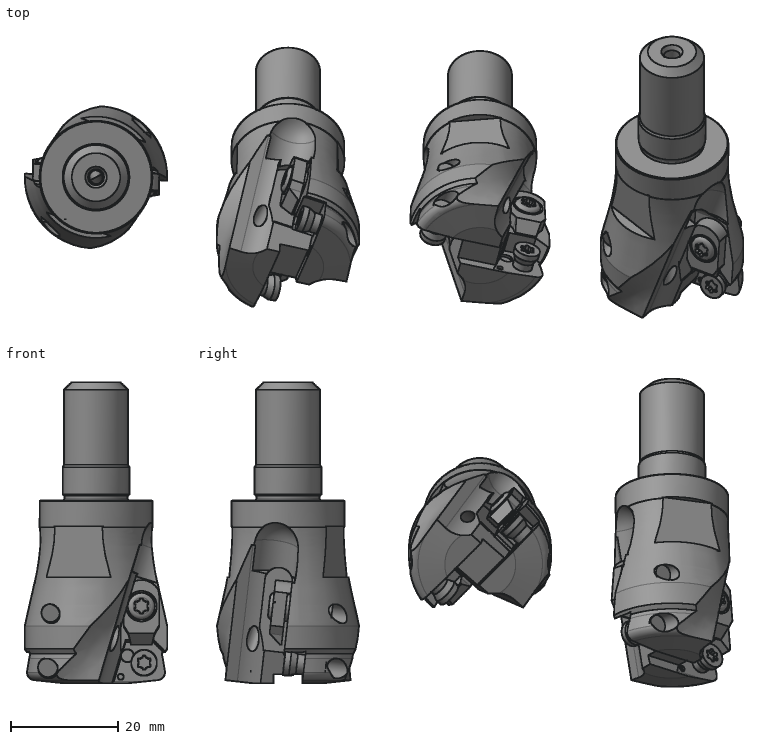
import cadquery as cq
import math

TOTAL_HEIGHT = 56.1
SHOULDER_Z = 34.1
BODY_RADIUS = 13.285
COLLAR_RADIUS = 10.53
COLLAR_BOTTOM_Z = 29.1
COLLAR_CHAMFER = 0.2
FLARE_TOP_RADIUS = 10.45
FLARE_MID = (11.3, 19.8)
FLARE_TANGENTS = [(-0.22, 1), (0, 1)]
FLARE_BOTTOM_Z = 10.7
BODY_BOTTOM_Z = 6.4
GROOVE_RADIUS = 12.7
GROOVE_TOP_Z = 5.5
GROOVE_BOTTOM_Z = 4.7
SKIRT_TOP_RADIUS = 12.85
SKIRT_RADIUS = 13.2
SKIRT_BOTTOM_Z = 2.1
BOTTOM_CORNER = (12.85, 1.15)
BOTTOM_CORNER_END = (11.6, 0.55)
BOTTOM_FACE_RADIUS = 6.6

SHANK_RADIUS = 6.0
SHANK_CHAMFER = 1.4
SHANK_TIP_RADIUS = 4.5
PILOT_RADIUS = 6.25
PILOT_TOP_Z = 40.2
PILOT_BOTTOM_Z = 35.2
NECK_RADIUS = 5.9
NECK_TOP_Z = 34.9
NECK_BOTTOM_Z = 34.5
EDGE_STEP = 0.5

FLAT_DISTANCE = 9.33
FLAT_ANGLE = 20.3
FLAT_BOTTOM_Z = 19.8
FLAT_TOP_Z = 29.3

BORE_RADIUS = 1.5
BORE_BOTTOM_Z = 27.0
BORE_MOUTH_RADIUS = 2.0
BORE_MOUTH_DEPTH = 0.9
COOLANT_RADIUS = 1.2
COOLANT_EXIT = (3.6, -6.8, 7.4)

BOTTOM_SLOT_HALF_WIDTH = 2.7
BOTTOM_SLOT_HEIGHT = 1.65

SEAT_TILT = math.radians(6.5)
SEAT_OFFSET_Y = -1.37
SIDE_ANGLES = (0, 180)
BEYOND = 20.0

FLUTE_LEAN = 16.5
FLUTE_FOOT_U = 0.7
FLUTE_ARC_RADIUS = 5.3
FLUTE_WALL_W = 8.1
FLUTE_BALL_RADIUS = 4.85
FLUTE_BALL_CENTRE = (11.8, 25.0, 4.25)
FLUTE_BALL_RUN = 6.0

RELIEF_EDGE_W = 10.3
RELIEF_FOOT_ANGLE = -11.0
RELIEF_TWIST = 3.9
RELIEF_BOTTOM_Z = -1.0
RELIEF_TOP_Z = 19.0
RELIEF_STEPS = 4

CLAMP_POCKET_LEFT_U = 4.6
CLAMP_POCKET_TOP_V = 21.4
CLAMP_POCKET_HEIGHT = 5.1
CLAMP_POCKET_END_RISE = 2.1

INSERT_FLOOR_W = -4.0
INSERT_POCKET_TOP_W = 4.6
INSERT_POCKET_TOP_V = 8.2
INSERT_POCKET_TOP_U = 10.65
INSERT_POCKET_LIP_V = 5.75
INSERT_POCKET_FOOT_U = 3.1
RELIEF_HOLES = ((5.86, 5.65, 1.2), (4.6, 1.7, 0.55))
RELIEF_HOLE_DEPTH = 0.5

CLAMP_U = 8.46
CLAMP_V = 14.1
CLAMP_HALF_WIDTH = 3.3
CLAMP_FRONT_W = 3.1
CLAMP_GAP = 0.65
CLAMP_TOP_V = 19.0
CLAMP_TOP_RADIUS = 3.6
CLAMP_TAPER_V = 10.5
NOSE_TOP_V = 9.0
NOSE_TOP_HALF_WIDTH = 2.4
NOSE_TIP_V = 7.15
NOSE_TIP_HALF_WIDTH = 1.95
NOSE_TIP_W = 0.95

SCREW_TIP_W = -8.0
CLAMP_SCREW_RADIUS = 1.7
CLAMP_HEAD_RADIUS = 2.53
CLAMP_HEAD_SEAT_W = 1.6
CLAMP_HEAD_FLAT_RADIUS = 1.55
CLAMP_HEAD_DOME = (2.2, 3.6)
CLAMP_HEAD_TOP_W = 3.8
CLAMP_SINK = 0.35
RING_RADIUS = 2.5
RING_BOTTOM_W = -0.5

INSERT_SCREW_U = 8.96
INSERT_SCREW_V = 3.93
INSERT_SCREW_RADIUS = 1.85
INSERT_HEAD_RADIUS = 2.4
INSERT_HEAD_TOP_W = -0.2
INSERT_HEAD_EDGE_W = -1.35
INSERT_HEAD_BOTTOM_W = -2.6

DRIVE_DEPTH = 1.0
DRIVE_LOBES = 6
CLAMP_DRIVE_RADIUS = 1.45
INSERT_DRIVE_RADIUS = 1.35
DRIVE_LOBE_RATIO = 0.22

SEAT_NORMAL = (0, -math.cos(SEAT_TILT), math.sin(SEAT_TILT))
SEAT = cq.Plane(origin=(0, SEAT_OFFSET_Y, 0), xDir=(1, 0, 0), normal=SEAT_NORMAL)


def seat_plane(u=0.0, v=0.0, w=0.0):
    """Plane parallel to the seat, with its origin at the seat point u, v, w."""
    return cq.Plane(origin=SEAT.toWorldCoords((u, v, w)).toTuple(), xDir=(1, 0, 0), normal=SEAT_NORMAL)


def seat_side_plane(u):
    """Plane seen along +X at u, with local axes w (out of the seat) and v (up the seat)."""
    return cq.Plane(origin=SEAT.toWorldCoords((u, 0, 0)).toTuple(), xDir=SEAT_NORMAL, normal=(-1, 0, 0))


def seat_cylinder(u, v, radius, w_low, w_high):
    return cq.Workplane(seat_plane(u, v, w_low)).circle(radius).extrude(w_high - w_low)


def screw_section_plane(u, v):
    """Plane through the seat normal at u, v, with local axes radius and w."""
    origin = SEAT.toWorldCoords((u, v, 0)).toTuple()
    return cq.Plane(origin=origin, xDir=(1, 0, 0), normal=(SEAT.yDir * -1).toTuple())


def turned_about_seat_normal(profile, u, v):
    """Revolve (radius, w) points about the seat normal through u, v."""
    return cq.Workplane(screw_section_plane(u, v)).polyline(profile).close().revolve(360, (0, 0), (0, 1))


def both_sides(shape):
    """The shape and its copy half a turn round Z, as two separate workplanes."""
    return [shape.rotate((0, 0, 0), (0, 0, 1), angle) for angle in SIDE_ANGLES]


def turned_housing():
    flare_top = (FLARE_TOP_RADIUS, COLLAR_BOTTOM_Z)
    profile = (
        cq.Workplane("XZ")
        .moveTo(0, 0)
        .lineTo(BOTTOM_FACE_RADIUS, 0)
        .lineTo(*BOTTOM_CORNER_END)
        .threePointArc(BOTTOM_CORNER, (SKIRT_RADIUS, SKIRT_BOTTOM_Z))
        .lineTo(SKIRT_TOP_RADIUS, GROOVE_BOTTOM_Z)
        .lineTo(GROOVE_RADIUS, GROOVE_TOP_Z)
        .lineTo(BODY_RADIUS, BODY_BOTTOM_Z)
        .lineTo(BODY_RADIUS, FLARE_BOTTOM_Z)
        .spline([FLARE_MID, flare_top], tangents=FLARE_TANGENTS, includeCurrent=True)
        .lineTo(COLLAR_RADIUS, COLLAR_BOTTOM_Z)
        .lineTo(COLLAR_RADIUS, SHOULDER_Z - COLLAR_CHAMFER)
        .lineTo(COLLAR_RADIUS - COLLAR_CHAMFER, SHOULDER_Z)
        .lineTo(SHANK_RADIUS, SHOULDER_Z)
        .lineTo(NECK_RADIUS, NECK_BOTTOM_Z)
        .lineTo(NECK_RADIUS, NECK_TOP_Z)
        .lineTo(PILOT_RADIUS, PILOT_BOTTOM_Z)
        .lineTo(PILOT_RADIUS, PILOT_TOP_Z)
        .lineTo(SHANK_RADIUS, PILOT_TOP_Z + EDGE_STEP)
        .lineTo(SHANK_RADIUS, TOTAL_HEIGHT - SHANK_CHAMFER)
        .lineTo(SHANK_TIP_RADIUS, TOTAL_HEIGHT)
        .lineTo(0, TOTAL_HEIGHT)
        .close()
    )
    return profile.revolve(360, (0, 0), (0, 1))


def wrench_flat():
    """Block beyond the flat on the -Y side."""
    height = FLAT_TOP_Z - FLAT_BOTTOM_Z
    block = cq.Workplane("XY").box(2 * BEYOND, BEYOND, height, centered=(True, True, False))
    block = block.translate((0, -FLAT_DISTANCE - BEYOND / 2, FLAT_BOTTOM_Z))
    return block.rotate((0, 0, 0), (0, 0, 1), -FLAT_ANGLE)


def flute():
    """Leaning channel with an arc floor on the seat side and a ball-shaped upper end."""
    lean = math.radians(FLUTE_LEAN)
    along = SEAT.xDir * math.sin(lean) + SEAT.yDir * math.cos(lean)
    across = SEAT.xDir * math.cos(lean) - SEAT.yDir * math.sin(lean)
    foot = SEAT.toWorldCoords((FLUTE_FOOT_U, 0, 0))
    section = cq.Plane(origin=(foot - along * BEYOND / 2).toTuple(), xDir=across.toTuple(),
                       normal=along.toTuple())
    radius = FLUTE_ARC_RADIUS
    arc_mid = (radius * (1 - math.sqrt(0.5)), radius * math.sqrt(0.5) - FLUTE_WALL_W)
    arc_end = (radius, radius - FLUTE_WALL_W)
    channel = (
        cq.Workplane(section)
        .moveTo(0, -BEYOND)
        .lineTo(0, -FLUTE_WALL_W)
        .threePointArc(arc_mid, arc_end)
        .lineTo(BEYOND, radius - FLUTE_WALL_W)
        .lineTo(BEYOND, -BEYOND)
        .close()
        .extrude(BEYOND * 3)
    )
    ball_centre = SEAT.toWorldCoords(FLUTE_BALL_CENTRE)
    below_ball = cq.Workplane(seat_side_plane(BEYOND)).rect(4 * BEYOND, 2 * FLUTE_BALL_CENTRE[1])
    channel = channel.intersect(below_ball.extrude(2 * BEYOND))
    ball = cq.Workplane("XY", origin=ball_centre.toTuple()).sphere(FLUTE_BALL_RADIUS)
    run = cq.Solid.makeCylinder(FLUTE_BALL_RADIUS, FLUTE_BALL_RUN, ball_centre, along * -1)
    return channel.union(ball).union(cq.Workplane(run))


def relief():
    """Twisted face that opens the flute towards the front of the housing."""
    wires = []
    for step in range(RELIEF_STEPS + 1):
        z = RELIEF_BOTTOM_Z + (RELIEF_TOP_Z - RELIEF_BOTTOM_Z) * step / RELIEF_STEPS
        slope = math.radians(RELIEF_FOOT_ANGLE + RELIEF_TWIST * z)
        v = (z - RELIEF_EDGE_W * math.sin(SEAT_TILT)) / math.cos(SEAT_TILT)
        u = FLUTE_FOOT_U + v * math.tan(math.radians(FLUTE_LEAN))
        edge = SEAT.toWorldCoords((u, v, RELIEF_EDGE_W))
        inward = cq.Vector(-math.cos(slope), -math.sin(slope), 0) * BEYOND
        outward = cq.Vector(math.sin(slope), -math.cos(slope), 0) * BEYOND
        corners = [edge, edge + inward, edge + inward + outward, edge + outward]
        wires.append(cq.Wire.makePolygon(corners, close=True))
    return cq.Workplane(cq.Solid.makeLoft(wires, False))


def clamp_pocket():
    straight_v = CLAMP_POCKET_TOP_V - CLAMP_POCKET_END_RISE
    return (
        cq.Workplane(seat_side_plane(BEYOND))
        .moveTo(0, INSERT_POCKET_LIP_V)
        .lineTo(0, straight_v)
        .threePointArc((CLAMP_POCKET_HEIGHT / 2, CLAMP_POCKET_TOP_V), (CLAMP_POCKET_HEIGHT, straight_v))
        .lineTo(CLAMP_POCKET_HEIGHT, INSERT_POCKET_LIP_V)
        .close()
        .extrude(BEYOND - CLAMP_POCKET_LEFT_U)
    )


def insert_pocket():
    """Insert seat: leaning side wall, short top wall and 45 degree outer wall."""
    lean = math.tan(math.radians(FLUTE_LEAN))
    lip_u = INSERT_POCKET_TOP_U + INSERT_POCKET_TOP_V - INSERT_POCKET_LIP_V
    outline = [
        (INSERT_POCKET_FOOT_U - BEYOND * lean, -BEYOND),
        (INSERT_POCKET_FOOT_U + INSERT_POCKET_TOP_V * lean, INSERT_POCKET_TOP_V),
        (INSERT_POCKET_TOP_U, INSERT_POCKET_TOP_V),
        (lip_u, INSERT_POCKET_LIP_V),
        (BEYOND, INSERT_POCKET_LIP_V),
        (BEYOND, -BEYOND),
    ]
    floor = cq.Workplane(seat_plane(w=INSERT_FLOOR_W))
    pocket = floor.polyline(outline).close().extrude(INSERT_POCKET_TOP_W - INSERT_FLOOR_W)
    for u, v, radius in RELIEF_HOLES:
        hole = seat_cylinder(u, v, radius, INSERT_FLOOR_W - RELIEF_HOLE_DEPTH, 0)
        pocket = pocket.union(hole)
    return pocket


def screw_holes():
    clamp_hole = seat_cylinder(CLAMP_U, CLAMP_V, CLAMP_SCREW_RADIUS, -BEYOND, CLAMP_FRONT_W)
    ring_recess = seat_cylinder(CLAMP_U, CLAMP_V, RING_RADIUS, RING_BOTTOM_W, CLAMP_FRONT_W)
    insert_hole = seat_cylinder(INSERT_SCREW_U, INSERT_SCREW_V, INSERT_SCREW_RADIUS, -BEYOND, 0)
    return [clamp_hole, ring_recess, insert_hole]


def coolant_hole():
    start = cq.Vector(0, 0, BORE_BOTTOM_Z)
    direction = cq.Vector(*COOLANT_EXIT) - start
    length = direction.Length + 2 * COOLANT_RADIUS
    return cq.Workplane(cq.Solid.makeCylinder(COOLANT_RADIUS, length, start, direction))


def bore():
    profile = [
        (0, BORE_BOTTOM_Z),
        (BORE_RADIUS, BORE_BOTTOM_Z),
        (BORE_RADIUS, TOTAL_HEIGHT - BORE_MOUTH_DEPTH),
        (BORE_MOUTH_RADIUS, TOTAL_HEIGHT),
        (0, TOTAL_HEIGHT),
    ]
    return cq.Workplane("XZ").polyline(profile).close().revolve(360, (0, 0), (0, 1))


def make_housing():
    body = turned_housing().cut(bore())
    slot = cq.Workplane("XY").box(2 * BEYOND, 2 * BOTTOM_SLOT_HALF_WIDTH, 2 * BOTTOM_SLOT_HEIGHT)
    body = body.cut(slot)
    cutters = [wrench_flat(), flute(), relief(), clamp_pocket(), insert_pocket(), coolant_hole()]
    for cutter in cutters + screw_holes():
        for copy in both_sides(cutter):
            body = body.cut(copy)
    return body


def make_clamp():
    shoulder_drop = CLAMP_TOP_RADIUS - math.sqrt(CLAMP_TOP_RADIUS**2 - CLAMP_HALF_WIDTH**2)
    shoulder_v = CLAMP_TOP_V - shoulder_drop
    plan = (
        cq.Workplane(seat_plane(u=CLAMP_U))
        .moveTo(-NOSE_TIP_HALF_WIDTH, NOSE_TIP_V)
        .lineTo(NOSE_TIP_HALF_WIDTH, NOSE_TIP_V)
        .lineTo(NOSE_TOP_HALF_WIDTH, NOSE_TOP_V)
        .lineTo(CLAMP_HALF_WIDTH, CLAMP_TAPER_V)
        .lineTo(CLAMP_HALF_WIDTH, shoulder_v)
        .threePointArc((0, CLAMP_TOP_V), (-CLAMP_HALF_WIDTH, shoulder_v))
        .lineTo(-CLAMP_HALF_WIDTH, CLAMP_TAPER_V)
        .lineTo(-NOSE_TOP_HALF_WIDTH, NOSE_TOP_V)
        .close()
        .extrude(CLAMP_FRONT_W)
    )
    side = (
        cq.Workplane(seat_side_plane(BEYOND))
        .moveTo(0, CLAMP_TOP_V)
        .lineTo(CLAMP_FRONT_W, CLAMP_TOP_V)
        .lineTo(CLAMP_FRONT_W, NOSE_TOP_V)
        .lineTo(NOSE_TIP_W, NOSE_TIP_V)
        .lineTo(CLAMP_GAP, NOSE_TIP_V)
        .lineTo(CLAMP_GAP, CLAMP_V + RING_RADIUS)
        .lineTo(0, CLAMP_V + RING_RADIUS)
        .close()
        .extrude(BEYOND)
    )
    screw_seat = [
        (0, 0),
        (CLAMP_SCREW_RADIUS, 0),
        (CLAMP_SCREW_RADIUS, CLAMP_HEAD_SEAT_W),
        (CLAMP_HEAD_RADIUS, CLAMP_HEAD_SEAT_W),
        (CLAMP_HEAD_RADIUS, CLAMP_FRONT_W - CLAMP_SINK),
        (CLAMP_HEAD_RADIUS + CLAMP_SINK, CLAMP_FRONT_W),
        (0, CLAMP_FRONT_W),
    ]
    hole = turned_about_seat_normal(screw_seat, CLAMP_U, CLAMP_V)
    return plan.intersect(side).cut(hole)


def drive_recess(u, v, radius, top_w):
    """Six-lobed driver recess."""
    lobe_radius = radius * DRIVE_LOBE_RATIO
    pitch_radius = radius - lobe_radius
    bottom = seat_plane(u, v, top_w - DRIVE_DEPTH)
    core = cq.Workplane(bottom).circle(pitch_radius).extrude(DRIVE_DEPTH)
    lobes = cq.Workplane(bottom).polarArray(pitch_radius, 90, 360, DRIVE_LOBES).circle(lobe_radius)
    return core.union(lobes.extrude(DRIVE_DEPTH))


def make_clamp_screw():
    shank = seat_cylinder(CLAMP_U, CLAMP_V, CLAMP_SCREW_RADIUS, SCREW_TIP_W, CLAMP_HEAD_SEAT_W)
    head = (
        cq.Workplane(screw_section_plane(CLAMP_U, CLAMP_V))
        .moveTo(0, CLAMP_HEAD_SEAT_W)
        .lineTo(CLAMP_HEAD_RADIUS, CLAMP_HEAD_SEAT_W)
        .lineTo(CLAMP_HEAD_RADIUS, CLAMP_FRONT_W)
        .threePointArc(CLAMP_HEAD_DOME, (CLAMP_HEAD_FLAT_RADIUS, CLAMP_HEAD_TOP_W))
        .lineTo(0, CLAMP_HEAD_TOP_W)
        .close()
        .revolve(360, (0, 0), (0, 1))
    )
    return shank.union(head).cut(drive_recess(CLAMP_U, CLAMP_V, CLAMP_DRIVE_RADIUS, CLAMP_HEAD_TOP_W))


def make_spring_ring():
    outer = seat_cylinder(CLAMP_U, CLAMP_V, RING_RADIUS, RING_BOTTOM_W, CLAMP_GAP)
    return outer.cut(seat_cylinder(CLAMP_U, CLAMP_V, CLAMP_SCREW_RADIUS, RING_BOTTOM_W, CLAMP_GAP))


def make_insert_screw():
    profile = [
        (0, SCREW_TIP_W),
        (INSERT_SCREW_RADIUS, SCREW_TIP_W),
        (INSERT_SCREW_RADIUS, INSERT_HEAD_BOTTOM_W),
        (INSERT_HEAD_RADIUS, INSERT_HEAD_EDGE_W),
        (INSERT_HEAD_RADIUS, INSERT_HEAD_TOP_W),
        (0, INSERT_HEAD_TOP_W),
    ]
    screw = turned_about_seat_normal(profile, INSERT_SCREW_U, INSERT_SCREW_V)
    return screw.cut(drive_recess(INSERT_SCREW_U, INSERT_SCREW_V, INSERT_DRIVE_RADIUS, INSERT_HEAD_TOP_W))


housing = make_housing()
bodies = [housing.val()]
for part in (make_clamp(), make_clamp_screw(), make_spring_ring(), make_insert_screw()):
    for copy in both_sides(part):
        bodies.append(copy.val())

result = cq.Compound.makeCompound(bodies)